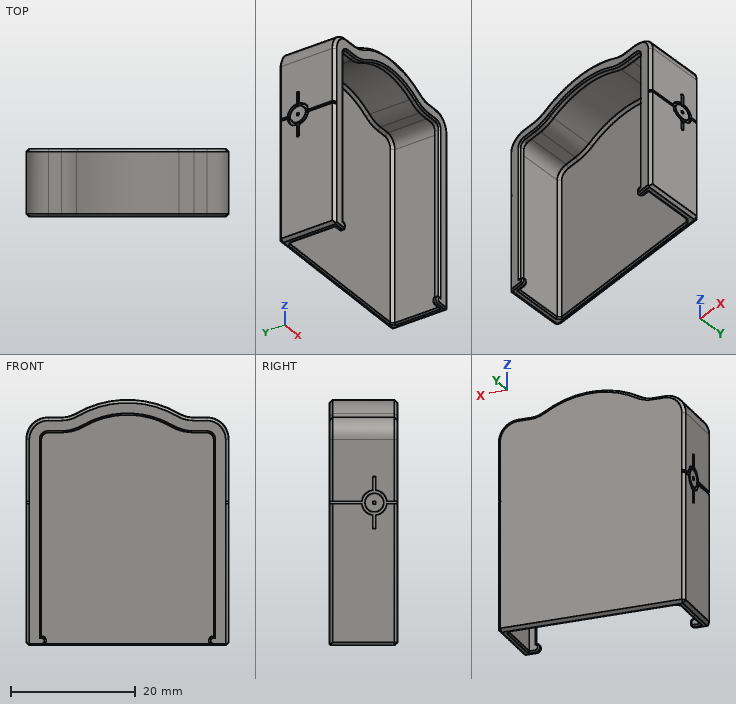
import cadquery as cq
import math

width = 32.4
depth = 10.9
height = 39.33
half_width = width / 2
front_y = -depth / 2
back_y = depth / 2

shoulder_height = 36.5
corner_radius = 3.5
blend_start_x = 10.58
crown_end_x = 8.22

wall = 1.4
floor_thickness = 1.0
lip_edge = 2.45
lip_x = half_width - lip_edge
lip_depth = 1.0
hook_radius = 0.75
outer_chamfer = 0.5
inner_chamfer = 0.5
lip_chamfer = 0.28

target_y = 1.75
target_z = 22.85
groove_depth = 0.47
ring_outer_diameter = 4.0
ring_inner_diameter = 3.0
dot_diameter = 0.5
level_groove_width = 0.4
upright_groove_width = 0.5
upright_groove_length = 8.4

crown_rise = height - shoulder_height
radius_sum = (blend_start_x**2 + crown_rise**2) / (2 * crown_rise)
crown_radius = radius_sum * crown_end_x / blend_start_x
blend_radius = radius_sum - crown_radius
crown_center_z = height - crown_radius
blend_center_z = shoulder_height + blend_radius
blend_angle = math.asin(blend_start_x / radius_sum)


def inset_outline(inset):
    """Closed outline moved inward by inset on the sides and top, ending flat at Z = 0."""
    side_x = half_width - inset
    corner = corner_radius - inset
    shoulder_z = shoulder_height - inset
    corner_x = side_x - corner
    corner_z = shoulder_z - corner
    crown = crown_radius - inset
    blend = blend_radius + inset
    diagonal = corner * math.sqrt(0.5)
    meet_x = crown * math.sin(blend_angle)
    meet_z = crown_center_z + crown * math.cos(blend_angle)
    blend_mid_x = blend_start_x - blend * math.sin(blend_angle / 2)
    blend_mid_z = blend_center_z - blend * math.cos(blend_angle / 2)
    return (
        cq.Workplane("XZ", origin=(0, front_y, 0))
        .moveTo(-side_x, 0)
        .lineTo(-side_x, corner_z)
        .threePointArc((-corner_x - diagonal, corner_z + diagonal), (-corner_x, shoulder_z))
        .lineTo(-blend_start_x, shoulder_z)
        .threePointArc((-blend_mid_x, blend_mid_z), (-meet_x, meet_z))
        .threePointArc((0, height - inset), (meet_x, meet_z))
        .threePointArc((blend_mid_x, blend_mid_z), (blend_start_x, shoulder_z))
        .lineTo(corner_x, shoulder_z)
        .threePointArc((corner_x + diagonal, corner_z + diagonal), (side_x, corner_z))
        .lineTo(side_x, 0)
        .close()
    )


def edges_within(reach_x, y_range, z_range):
    """Selector for the edges that lie wholly inside a box centred on X = 0."""
    margin = 0.005
    return cq.selectors.BoxSelector(
        (-reach_x - margin, y_range[0] - margin, z_range[0] - margin),
        (reach_x + margin, y_range[1] + margin, z_range[1] + margin),
        boundingbox=True,
    )


def make_block():
    """Solid body with its outer edges chamfered, except the bottom edge of the front."""
    block = inset_outline(0).extrude(-depth)
    front_bottom = edges_within(half_width, (front_y, front_y), (0, 0))
    outer_edges = cq.StringSyntaxSelector("(not |Y) or <Z") - front_bottom
    return block.edges(outer_edges).chamfer(outer_chamfer)


def make_cavity():
    """Open-bottomed cavity that narrows at the front to the lip and its two hooks."""
    chamber = inset_outline(wall).extrude(-(depth - floor_thickness))
    chamber = chamber.faces(">Y").edges("not <Z").chamfer(inner_chamfer)
    lip_zone = cq.Workplane("XY").box(width, lip_depth, height, centered=(True, False, False))
    chamber = chamber.cut(lip_zone.translate((0, front_y, 0)))
    hooks = (
        cq.Workplane("XZ", origin=(0, front_y, 0))
        .pushPoints([(-lip_x, hook_radius), (lip_x, hook_radius)])
        .circle(hook_radius)
        .extrude(-lip_depth)
    )
    opening = inset_outline(lip_edge).extrude(-lip_depth)
    return chamber.union(opening.cut(hooks))


def chamfer_opening(body):
    """Break the front edge of the opening, the feet, and the bottom edge of the chamber."""
    lip_side_top = shoulder_height - corner_radius
    opening = edges_within(lip_x, (front_y, front_y), (0, lip_side_top))
    feet = edges_within(half_width - outer_chamfer, (front_y, front_y), (0, 0))
    chamber_y = (front_y + lip_depth, back_y - floor_thickness)
    chamber = edges_within(half_width - wall, chamber_y, (0, 0))
    return body.edges(opening + feet + chamber).chamfer(lip_chamfer)


def make_target(side):
    """Cutter for the ring, dot and cross of grooves in the side face at side * half_width."""
    face = cq.Workplane("YZ", origin=(side * (half_width - groove_depth), target_y, target_z))
    reach = side * groove_depth
    level = face.rect(2 * depth, level_groove_width).extrude(reach)
    upright = face.slot2D(upright_groove_length, upright_groove_width, 90).extrude(reach)
    disc = face.circle(ring_outer_diameter / 2).extrude(reach)
    island = face.circle(ring_inner_diameter / 2).extrude(reach)
    dot = face.circle(dot_diameter / 2).extrude(reach)
    return level.union(upright).union(disc).cut(island).union(dot)


result = chamfer_opening(make_block().cut(make_cavity()))
for side in (-1, 1):
    result = result.cut(make_target(side))